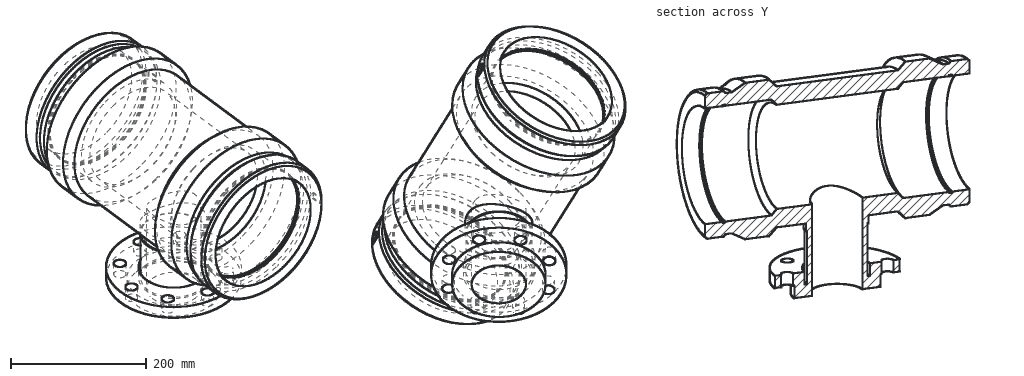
import cadquery as cq

length = 422.0
half_length = length / 2
run_diameter = 221.0
bore_diameter = 162.0

rim_diameter = 228.0
rim_start = 4.0
rim_end = 29.5
neck_diameter = 221.0
neck_start = 33.5
neck_end = 42.5
bulge_diameter = 245.0
bulge_start = 64.0
bulge_end = 102.5
socket_end = 114.5

socket_bore_diameter = 180.0
seal_groove_start = 28.3
seal_groove_width = 4.0
seal_groove_depth = 1.5
bore_taper_start = 106.0

pad_length = 16.5
pad_height = 10.0
pad_projection = 1.5
pad_embed = 4.2

branch_bore_diameter = 80.0
branch_diameter = 97.5
saddle_diameter = 100.0
saddle_bottom = -bulge_diameter / 2
branch_bottom = -224.5

collar_diameter = 138.0
collar_height = 20.0
flange_bottom = branch_bottom + collar_height
flange_thickness = 20.0
flange_diameter = 200.0
flange_bore_diameter = 104.0
bolt_hole_diameter = 18.0
bolt_circle_diameter = 160.0
bolt_count = 8


def cylinder_down(diameter, top, bottom):
    """Vertical cylinder on the branch axis."""
    return cq.Workplane("XY").workplane(offset=bottom).circle(diameter / 2).extrude(top - bottom)


def revolve_run(stations):
    """Revolve (distance from end, diameter) stations, mirrored about X = 0, around X."""
    left = [(-half_length + distance, diameter / 2) for distance, diameter in stations]
    right = [(-x, radius) for x, radius in reversed(left)]
    profile = [(-half_length, 0)] + left + right + [(half_length, 0)]
    return cq.Workplane("XY").polyline(profile).close().revolve(360, (0, 0, 0), (1, 0, 0))


def run_outside():
    return revolve_run([
        (0, run_diameter),
        (rim_start, rim_diameter),
        (rim_end, rim_diameter),
        (neck_start, neck_diameter),
        (neck_end, neck_diameter),
        (bulge_start, bulge_diameter),
        (bulge_end, bulge_diameter),
        (socket_end, run_diameter),
    ])


def run_inside():
    groove_end = seal_groove_start + seal_groove_width
    groove_diameter = socket_bore_diameter + 2 * seal_groove_depth
    return revolve_run([
        (0, socket_bore_diameter),
        (seal_groove_start, socket_bore_diameter),
        (seal_groove_start, groove_diameter),
        (groove_end, groove_diameter),
        (groove_end, socket_bore_diameter),
        (bore_taper_start, socket_bore_diameter),
        (socket_end, bore_diameter),
    ])


def rim_pads():
    pad_x = half_length - (rim_start + rim_end) / 2
    pad_depth = pad_embed + pad_projection
    pad_y = rim_diameter / 2 + pad_projection - pad_depth / 2
    return (
        cq.Workplane("XY")
        .pushPoints([(-pad_x, pad_y), (pad_x, pad_y)])
        .box(pad_length, pad_depth, pad_height)
    )


def branch():
    pipe = cylinder_down(branch_diameter, 0, branch_bottom)
    saddle = cylinder_down(saddle_diameter, 0, saddle_bottom)
    collar = cylinder_down(collar_diameter, flange_bottom, branch_bottom)
    return pipe.union(saddle).union(collar)


def flange():
    top = flange_bottom + flange_thickness
    disc = cylinder_down(flange_diameter, top, flange_bottom)
    ring = disc.cut(cylinder_down(flange_bore_diameter, top, flange_bottom))
    bolt_holes = (
        cq.Workplane("XY")
        .workplane(offset=flange_bottom)
        .polarArray(bolt_circle_diameter / 2, 0, 360, bolt_count)
        .circle(bolt_hole_diameter / 2)
        .extrude(flange_thickness)
    )
    return ring.cut(bolt_holes)


body = run_outside().union(rim_pads()).union(branch()).union(flange())
branch_bore = cylinder_down(branch_bore_diameter, 0, branch_bottom)
result = body.cut(run_inside()).cut(branch_bore)